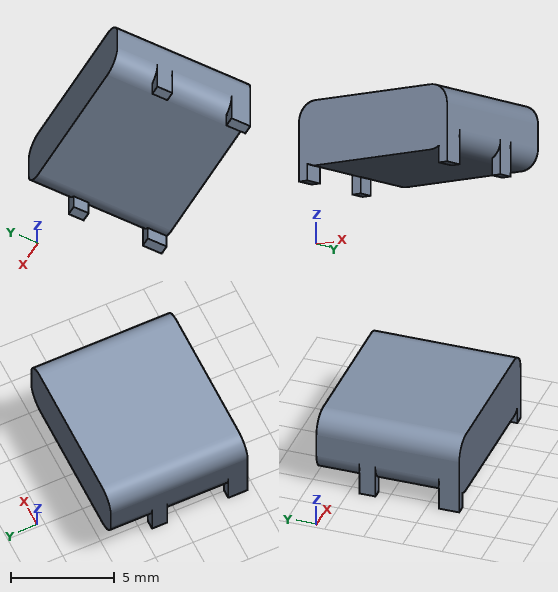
import cadquery as cq

length = 8.94
depth = 7.3
total_height = 3.89
body_height = 3.2
edge_radius = 1.0

leg_thickness = 0.51
front_leg_width = 1.04
middle_leg_width = 0.82
middle_leg_offset = 4.28

body_bottom = total_height - body_height
leg_height = body_bottom + edge_radius


def make_body():
    block = cq.Workplane("XY").box(length, depth, body_height, centered=(True, False, False))
    return block.edges("|Y").fillet(edge_radius).translate((0, 0, body_bottom))


def make_leg(side, start_y, width):
    leg = cq.Workplane("XY").box(leg_thickness, width, leg_height, centered=(True, False, False))
    return leg.translate((side * (length - leg_thickness) / 2, start_y, 0))


result = make_body()
for side in (-1, 1):
    result = result.union(make_leg(side, 0, front_leg_width))
    result = result.union(make_leg(side, middle_leg_offset, middle_leg_width))